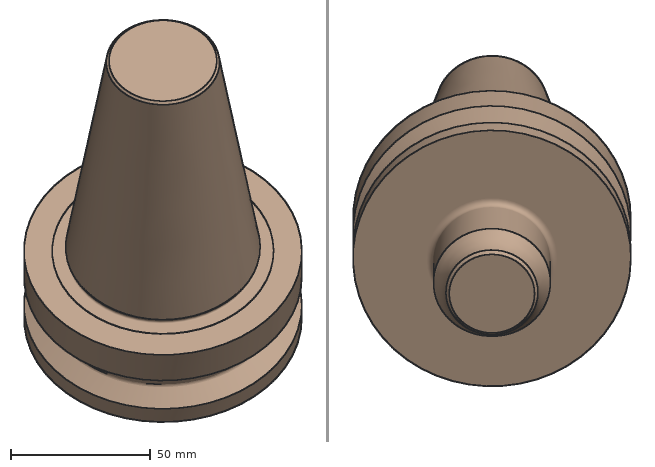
import cadquery as cq
import math

total_height = 172.3
flange_bottom = 32.5
flange_top = 69.1
taper_bottom = 71.2

flange_radius = 50.0
groove_floor_radius = 42.5
groove_lower_edge = 39.8
groove_upper_edge = 55.1
groove_wall_angle = math.radians(30)
groove_fillet = 1.0
recess_radius = 39.8
recess_depth = 0.2

taper_radius = 35.0
taper_rate = 7 / 24
top_chamfer = 0.9
neck_radius = 34.3
neck_fillet = 0.7

nose_radius = 21.0
nose_root_fillet = 2.4
shoulder_height = 10.3
shoulder_chamfer = 0.5
tip_radius = 16.5
tip_chamfer = 1.2
nose_arc_sagitta = 0.7


def nose():
    """Cylindrical nose narrowing along a hollow curve to a chamfered tip."""
    curve_top = (nose_radius - shoulder_chamfer, shoulder_height - shoulder_chamfer)
    curve_bottom = (tip_radius, tip_chamfer)
    run = curve_top[0] - curve_bottom[0]
    rise = curve_top[1] - curve_bottom[1]
    chord = math.hypot(run, rise)
    curve_middle = (
        (curve_top[0] + curve_bottom[0]) / 2 - nose_arc_sagitta * rise / chord,
        (curve_top[1] + curve_bottom[1]) / 2 + nose_arc_sagitta * run / chord,
    )
    return (
        cq.Workplane("XZ")
        .lineTo(tip_radius - tip_chamfer, 0)
        .lineTo(*curve_bottom)
        .threePointArc(curve_middle, curve_top)
        .lineTo(nose_radius, shoulder_height)
        .lineTo(nose_radius, flange_bottom)
        .lineTo(0, flange_bottom)
        .close()
        .revolve(360, (0, 0, 0), (0, 1, 0))
    )


def groove_cutter():
    """Ring that cuts the V-groove, rounded where it meets the groove floor."""
    wall_rise = (flange_radius - groove_floor_radius) * math.tan(groove_wall_angle)
    ring = (
        cq.Workplane("XZ")
        .moveTo(flange_radius, groove_lower_edge)
        .lineTo(groove_floor_radius, groove_lower_edge + wall_rise)
        .lineTo(groove_floor_radius, groove_upper_edge - wall_rise)
        .lineTo(flange_radius, groove_upper_edge)
        .close()
        .revolve(360, (0, 0, 0), (0, 1, 0))
    )
    floor_band = cq.selectors.RadiusNthSelector(0)
    return ring.edges("%CIRCLE").edges(floor_band).fillet(groove_fillet)


def flange():
    """Grooved flange with a shallow round recess in its top face."""
    disc = (
        cq.Workplane("XY", origin=(0, 0, flange_bottom))
        .circle(flange_radius)
        .extrude(flange_top - flange_bottom)
    )
    recess = (
        cq.Workplane("XY", origin=(0, 0, flange_top - recess_depth))
        .circle(recess_radius)
        .extrude(recess_depth)
    )
    return disc.cut(groove_cutter()).cut(recess)


def shank():
    """Tapered shank standing on a slightly narrower neck."""
    top_radius = taper_radius - (total_height - taper_bottom) * taper_rate / 2
    return (
        cq.Workplane("XZ")
        .moveTo(0, flange_top - recess_depth)
        .lineTo(neck_radius, flange_top - recess_depth)
        .lineTo(neck_radius, taper_bottom - (taper_radius - neck_radius))
        .lineTo(taper_radius, taper_bottom)
        .lineTo(top_radius, total_height)
        .lineTo(0, total_height)
        .close()
        .revolve(360, (0, 0, 0), (0, 1, 0))
        .faces(">Z")
        .chamfer(top_chamfer)
    )


def circle_at(radius, height):
    """Selector box that holds only the whole circle of this radius and height."""
    margin = 0.09
    reach = radius + margin
    return cq.selectors.BoxSelector(
        (-reach, -reach, height - margin), (reach, reach, height + margin), boundingbox=True
    )


result = flange().union(nose()).union(shank())
result = result.edges(circle_at(nose_radius, flange_bottom)).fillet(nose_root_fillet)
result = result.edges(circle_at(neck_radius, flange_top - recess_depth)).fillet(neck_fillet)